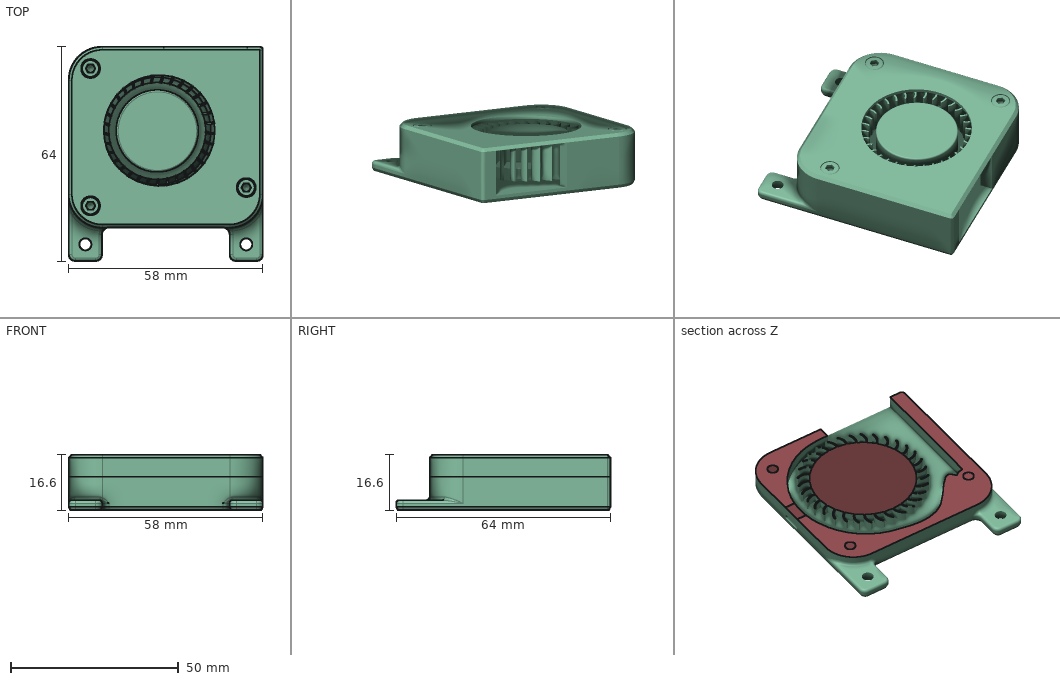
import cadquery as cq
import math

case_length = 58.0
case_width = 54.0
case_height = 16.6
base_height = 10.0
corner_radius = 10.0
outlet_corner_radius = 1.0
edge_chamfer = 0.95
bottom_chamfer_inset = 0.5
bottom_chamfer_rise = 1.0

tab_size = 10.0
tab_thickness = 3.0
tab_corner_radius = 2.0
tab_inner_fillet = 2.0
tab_edge_fillet = 0.95
tab_hole_diameter = 3.5

axis_x = 26.4
axis_y = 28.85
hub_diameter = 24.5
hub_fillet = 0.5
hub_top = 14.85
ring_diameter = 28.9
ring_top = 8.0
skirt_diameter = 32.0
skirt_top = 6.4
disc_bottom = 3.25
blade_count = 33
blade_phase = -0.9
blade_thickness = 0.5
blade_arc_radius = 3.5
blade_inlet_angle = -32
blade_exit_angle = 65
blade_inner_radius = 14.45
blade_top = 14.45

floor_thickness = 2.0
roof_thickness = 1.0
volute_start_radius = 21.45
volute_end_radius = 26.9
volute_start_angle = 90
volute_sweep = 270
volute_steps = 9
outlet_left_offset = 1.9
inlet_diameter = 33.0
inlet_offset_x = 0.65
inlet_offset_y = 0.1

board_thickness = 0.8
board_diameter = hub_diameter
board_top = floor_thickness + board_thickness

notch_width = 6.0
notch_center_y = 28.2
notch_reach = axis_x - hub_diameter / 2
cable_gap = 1.5

corner_screw_inset = 6.5
side_screw_inset = 5.0
side_screw_y = 12.0
screw_places = [
    (corner_screw_inset, corner_screw_inset),
    (corner_screw_inset, case_width - corner_screw_inset),
    (case_length - side_screw_inset, side_screw_y),
]
head_diameter = 5.5
head_top_diameter = 5.0
head_height = 3.0
shank_diameter = 3.0
shank_length = 11.0
shank_bottom = case_height - head_height - shank_length
recess_diameter = 5.7
clearance_diameter = 3.4
boss_diameter = 7.0
socket_width = 2.5
socket_corner_diameter = socket_width / math.cos(math.radians(30))
socket_depth = 1.5
socket_cone_depth = 0.7

tolerance = 0.03


def case_block(z_low, z_high):
    """Case outline with three large rounded corners and one nearly sharp outlet corner."""
    block = cq.Workplane("XY").box(case_length, case_width, z_high - z_low, centered=False)
    block = block.edges("|Z").edges("<X or <Y").fillet(corner_radius)
    block = block.edges("|Z").edges(">X and >Y").fillet(outlet_corner_radius)
    return block.translate((0, 0, z_low))


def volute_point(step):
    """Point on the inner wall, whose distance from the axis grows counter-clockwise."""
    share = step / volute_steps
    radius = volute_start_radius + (volute_end_radius - volute_start_radius) * share
    turn = math.radians(volute_start_angle + volute_sweep * share)
    return (axis_x + radius * math.cos(turn), axis_y + radius * math.sin(turn))


def volute_cavity():
    """Spiral chamber with a straight outlet through the rear wall, less the screw bosses."""
    points = [volute_point(step) for step in range(volute_steps + 1)]
    outlet_left = axis_x + outlet_left_offset
    profile = (
        cq.Workplane("XY")
        .workplane(offset=floor_thickness)
        .moveTo(*points[0])
        .spline(points[1:], tangents=[(-1, 0), (0, 1)], includeCurrent=True)
        .lineTo(points[-1][0], case_width)
        .lineTo(outlet_left, case_width)
        .lineTo(outlet_left, points[0][1])
        .close()
    )
    cavity = profile.extrude(case_height - roof_thickness - floor_thickness)
    return cavity.cut(at_screws(boss_diameter, 0, case_height))


def notch_block(z_low):
    """Block through the left wall from z_low up to the parting plane."""
    block = cq.Workplane("XY").box(
        notch_reach, notch_width, base_height - z_low, centered=(False, True, False)
    )
    return block.translate((0, notch_center_y, z_low))


def at_screws(diameter, z_low, z_high):
    """Cylinders on the screw axes."""
    circles = cq.Workplane("XY").workplane(offset=z_low).pushPoints(screw_places)
    return circles.circle(diameter / 2).extrude(z_high - z_low)


def tab_plate():
    """Left tab with a rounded top rim, carried back under the case and flared into its front wall."""
    flare_end = tab_size + tab_inner_fillet
    flare_middle = tab_inner_fillet * (1 - math.sqrt(0.5))
    plate = (
        cq.Workplane("XY")
        .moveTo(0, corner_radius)
        .lineTo(0, -tab_size)
        .lineTo(tab_size, -tab_size)
        .lineTo(tab_size, -tab_inner_fillet)
        .threePointArc((tab_size + flare_middle, -flare_middle), (flare_end, 0))
        .lineTo(flare_end, corner_radius)
        .close()
        .extrude(tab_thickness)
    )
    plate = plate.edges("|Z").edges("<Y").fillet(tab_corner_radius)
    rim = plate.faces(">Z").edges("not (>Y or >X)")
    return rim.fillet(tab_edge_fillet)


def tab_corner():
    """Front left case corner with its tab, the tab top blended into the corner wall."""
    corner = case_block(0, base_height).intersect(
        cq.Workplane("XY").box(case_length / 2, case_width / 2, base_height, centered=False)
    )
    corner = corner.union(tab_plate())
    foot = cq.selectors.BoxSelector(
        (0, 0, tab_thickness - tolerance), (corner_radius, corner_radius, tab_thickness + tolerance)
    )
    return corner.edges("%CIRCLE").edges(foot).fillet(tab_edge_fillet)


def make_base():
    """Lower case half with both tabs, the chamber, the cable notch and the screw holes."""
    left = tab_corner()
    right = left.mirror("YZ", (case_length / 2, 0, 0))
    base = case_block(0, base_height).union(left).union(right).clean()
    base = base.faces("<Z").chamfer(bottom_chamfer_rise, bottom_chamfer_inset)
    tab_centers = [(tab_size / 2, -tab_size / 2), (case_length - tab_size / 2, -tab_size / 2)]
    holes = cq.Workplane("XY").pushPoints(tab_centers).circle(tab_hole_diameter / 2)
    base = base.cut(holes.extrude(tab_thickness))
    base = base.cut(volute_cavity())
    base = base.cut(notch_block(floor_thickness))
    return base.cut(at_screws(shank_diameter, shank_bottom, base_height))


def make_cover():
    """Upper case half with the air inlet, the screw recesses and a tongue that fills the notch."""
    cavity = volute_cavity()
    cover = case_block(base_height, case_height).faces(">Z").chamfer(edge_chamfer)
    cover = cover.cut(cavity)
    cover = cover.union(notch_block(floor_thickness + cable_gap).cut(cavity))
    inlet = (
        cq.Workplane("XY")
        .center(axis_x + inlet_offset_x, axis_y + inlet_offset_y)
        .circle(inlet_diameter / 2)
        .extrude(case_height)
    )
    cover = cover.cut(inlet)
    cover = cover.cut(at_screws(recess_diameter, case_height - head_height, case_height))
    return cover.cut(at_screws(clearance_diameter, base_height, case_height))


def make_blade():
    """Arc-shaped blade whose outer edge leans counter-clockwise."""
    start = math.radians(blade_inlet_angle)
    end = math.radians(blade_exit_angle)
    middle = (start + end) / 2
    center_x = blade_inner_radius - blade_arc_radius * math.sin(start)
    center_y = blade_arc_radius * math.cos(start)

    def arc_point(radius, angle):
        return (center_x + radius * math.sin(angle), center_y - radius * math.cos(angle))

    outer = blade_arc_radius + blade_thickness / 2
    inner = blade_arc_radius - blade_thickness / 2
    return (
        cq.Workplane("XY")
        .workplane(offset=disc_bottom)
        .moveTo(*arc_point(outer, start))
        .threePointArc(arc_point(outer, middle), arc_point(outer, end))
        .lineTo(*arc_point(inner, end))
        .threePointArc(arc_point(inner, middle), arc_point(inner, start))
        .close()
        .extrude(blade_top - disc_bottom)
    )


def make_impeller():
    """Hub and disc with a sloped skirt that carries a ring of curved blades."""
    hub = cq.Workplane("XY").workplane(offset=board_top).circle(hub_diameter / 2)
    hub = hub.extrude(hub_top - board_top)
    hub = hub.faces(">Z").fillet(hub_fillet)
    disc = (
        cq.Workplane("XZ")
        .moveTo(0, disc_bottom)
        .lineTo(skirt_diameter / 2, disc_bottom)
        .lineTo(skirt_diameter / 2, skirt_top)
        .lineTo(ring_diameter / 2, ring_top)
        .lineTo(0, ring_top)
        .close()
        .revolve(360, (0, 0, 0), (0, 1, 0))
    )
    impeller = hub.union(disc)
    blade = make_blade()
    for index in range(blade_count):
        angle = blade_phase + index * 360 / blade_count
        impeller = impeller.union(blade.rotate((0, 0, 0), (0, 0, 1), angle))
    return impeller.translate((axis_x, axis_y, 0))


def make_board():
    """Round motor board on the chamber floor, under the hub."""
    board = cq.Workplane("XY").workplane(offset=floor_thickness).circle(board_diameter / 2)
    return board.extrude(board_thickness).translate((axis_x, axis_y, 0))


def make_screw(place):
    """Socket head screw with a hexagonal socket that ends in a cone."""
    shank = cq.Workplane("XY").circle(shank_diameter / 2).extrude(head_height + shank_length)
    head = (
        cq.Workplane("XY")
        .workplane(offset=shank_length)
        .circle(head_diameter / 2)
        .extrude(head_height)
        .faces(">Z")
        .chamfer((head_diameter - head_top_diameter) / 2)
    )
    screw = shank.union(head)
    top = screw.faces(">Z").workplane(origin=(0, 0, 0))
    screw = top.polygon(6, socket_corner_diameter).cutBlind(-socket_depth)
    cone_tip = shank_length + head_height - socket_depth - socket_cone_depth
    cone = cq.Solid.makeCone(0, socket_width / 2, socket_cone_depth, pnt=cq.Vector(0, 0, cone_tip))
    return screw.cut(cq.Workplane(cone)).translate((place[0], place[1], shank_bottom))


base = make_base()
cover = make_cover()
impeller = make_impeller()
board = make_board()
screws = [make_screw(place) for place in screw_places]

result = cq.Compound.makeCompound(
    [base.val(), cover.val(), impeller.val(), board.val()] + [screw.val() for screw in screws]
)